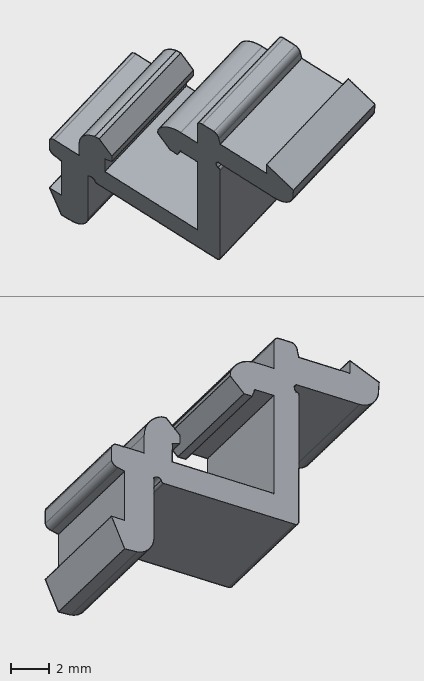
import cadquery as cq

width = 7.0
wall = 1.52
arm_height = 11.3
shelf_reach = 4.85
corner_radius = 0.26

post_radius = 0.32
post_flat_end = -0.42
post_shoulder = (-0.1, 10.92)

shelf_thickness = 1.76
barb_height = 0.79
barb_length = 1.78
tip_draft = 0.05
tip_straight = 0.76
tip_round = 1.13
shelf_top = arm_height - barb_height
shelf_bottom = shelf_top - shelf_thickness
tip_round_mid = (4.5, 9.15)

hook_thickness = 1.7
hook_top = 9.33
hook_bottom = hook_top - hook_thickness
hook_tip_x = -4.15
hook_round_radius = 1.62
hook_round_start_x = -2.62
hook_round_end = (-4.12, 8.3)
hook_nose_top = 8.01
hook_nose_height = 0.47
hook_nose_bottom = hook_bottom - hook_nose_height
hook_nose_tip_x = hook_tip_x + hook_nose_top - hook_nose_bottom
hook_nose_width = 0.48
hook_heel_x = -2.65

groove_depth = 0.27
groove_mouth_x = -0.15
groove_height = 0.45
lip_radius = 0.15


def make_arm():
    """Upright wall with its post, shelf and hook, cut off along the diagonal."""
    tip_x = shelf_reach - tip_draft
    groove_bottom = shelf_bottom - groove_height
    profile = (
        cq.Workplane("XZ")
        .moveTo(0, 0)
        .lineTo(-wall, wall)
        .lineTo(-wall, hook_bottom)
        .lineTo(hook_heel_x, hook_bottom)
        .lineTo(hook_nose_tip_x + hook_nose_width, hook_nose_bottom)
        .lineTo(hook_nose_tip_x, hook_nose_bottom)
        .lineTo(hook_tip_x, hook_nose_top)
        .lineTo(*hook_round_end)
        .radiusArc((hook_round_start_x, hook_top), hook_round_radius)
        .lineTo(-wall, hook_top)
        .lineTo(-wall, arm_height - post_radius)
        .radiusArc((-wall + post_radius, arm_height), post_radius)
        .lineTo(post_flat_end, arm_height)
        .radiusArc(post_shoulder, -post_shoulder[0] + post_radius)
        .lineTo(0, shelf_top)
        .lineTo(shelf_reach - barb_length, shelf_top)
        .lineTo(shelf_reach - barb_length, arm_height)
        .lineTo(shelf_reach, shelf_top)
        .lineTo(tip_x, shelf_top - tip_straight)
        .threePointArc(tip_round_mid, (tip_x - tip_round, shelf_bottom))
        .lineTo(groove_mouth_x, shelf_bottom)
        .threePointArc(
            (-groove_depth, shelf_bottom - groove_height / 2),
            (-lip_radius, groove_bottom),
        )
        .radiusArc((0, groove_bottom - lip_radius), lip_radius)
        .close()
    )
    return profile.extrude(width / 2, both=True)


upright_arm = make_arm()

lying_arm = upright_arm.rotate((0, 0, 0), (1, 0, -1), 180)
clip = upright_arm.union(lying_arm)

outer_corner = cq.selectors.NearestToPointSelector((0, 0, 0))
result = clip.edges("|Y").edges(outer_corner).fillet(corner_radius)